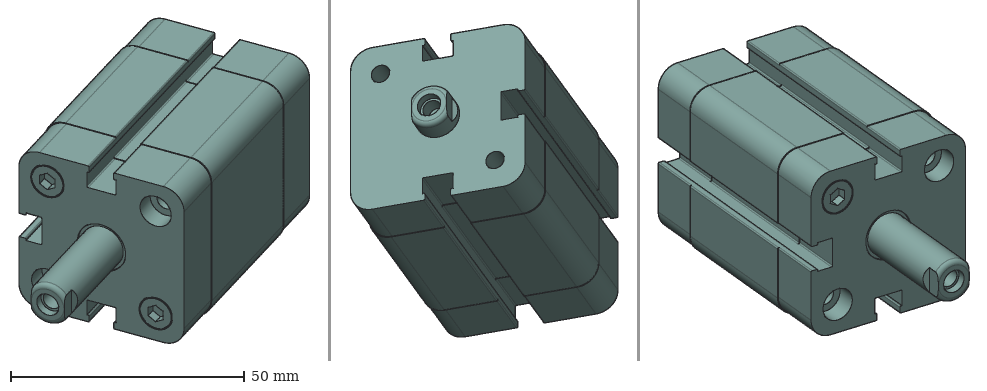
import cadquery as cq
import math

OVERALL_LENGTH = 90.5
FRONT_FACE_Y = 25.4
FRONT_CAP_LENGTH = 12.8
TUBE_LENGTH = 34.1
REAR_CAP_LENGTH = 12.6

TUBE_WIDTH = 40.1
CAP_WIDTH = 39.7
CORNER_RADIUS = 5.0

SLOT_OPENING = 5.9
SLOT_WIDTH = 7.0
LIP_THICKNESS = 1.9
SLOT_DEPTH = 5.5
SLOT_EDGE_RADIUS = 0.3
SLOT_ANGLES = (0, 90, 180)

CORNER_OFFSET = 13.0
SCREW_HEAD_DIAMETER = 7.5
SCREW_RECESS_DIAMETER = 8.0
SCREW_GAP_DEPTH = 0.45
HEX_WIDTH = 3.6
HEX_DEPTH = 2.3
HEX_HALF_ANGLE = 30.0
MOUNT_HOLE_DIAMETER = 4.2
MOUNT_BORE_DIAMETER = 7.5
MOUNT_BORE_DEPTH = 4.8

ROD_DIAMETER = 10.0
ROD_EDGE_RADIUS = 1.1
ROD_RECESS_DIAMETER = 11.6
ROD_RECESS_DEPTH = 0.5
FLAT_WIDTH = 8.0
FLAT_LENGTH = 3.4
TAP_HOLE_DIAMETER = 4.2
TAP_MOUTH_DIAMETER = 5.25
TAP_MOUTH_DEPTH = 2.0
TAP_HOLE_DEPTH = 10.0
DRILL_POINT_ANGLE = 118.0

TUBE_START_Y = FRONT_FACE_Y + FRONT_CAP_LENGTH
TUBE_END_Y = TUBE_START_Y + TUBE_LENGTH
BODY_LENGTH = FRONT_CAP_LENGTH + TUBE_LENGTH + REAR_CAP_LENGTH


def section_plane(y):
    """XZ workplane at the given Y; extruding from it goes toward +Y."""
    return cq.Workplane(cq.Plane(origin=(0, y, 0), xDir=(-1, 0, 0), normal=(0, 1, 0)))


def cylinder(diameter, y, length, x=0.0, z=0.0):
    return section_plane(y).center(-x, z).circle(diameter / 2).extrude(length)


def rounded_block(width, y, length):
    block = section_plane(y).rect(width, width).extrude(length)
    return block.edges("|Y").fillet(CORNER_RADIUS)


def slot_cutter(face, y, length):
    """T-slot opening toward +Z at the height of the given face, with rounded floor and lip edges."""
    lip = TUBE_WIDTH / 2 - LIP_THICKNESS
    floor = face - SLOT_DEPTH
    radius = SLOT_EDGE_RADIUS
    mouth_x = SLOT_OPENING / 2
    wall_x = SLOT_WIDTH / 2
    flare_x = mouth_x + radius
    outline = (
        section_plane(y)
        .moveTo(-flare_x, face)
        .radiusArc((-mouth_x, face - radius), radius)
        .lineTo(-mouth_x, lip + radius)
        .radiusArc((-flare_x, lip), radius)
        .lineTo(-wall_x, lip)
        .lineTo(-wall_x, floor + radius)
        .radiusArc((-wall_x + radius, floor), -radius)
        .lineTo(wall_x - radius, floor)
        .radiusArc((wall_x, floor + radius), -radius)
        .lineTo(wall_x, lip)
        .lineTo(flare_x, lip)
        .radiusArc((mouth_x, lip + radius), radius)
        .lineTo(mouth_x, face - radius)
        .radiusArc((flare_x, face), radius)
        .close()
    )
    return outline.extrude(length)


def slotted_block(width, y, length):
    """Body segment with its T-slots cut to a depth measured from its own faces."""
    block = rounded_block(width, y, length)
    slot = slot_cutter(width / 2, y, length)
    for angle in SLOT_ANGLES:
        block = block.cut(slot.rotate((0, 0, 0), (0, -1, 0), angle))
    return block


def screw_cut(x, z):
    """Narrow gap around a flush screw head, plus its hexagon socket."""
    gap = cylinder(SCREW_RECESS_DIAMETER, FRONT_FACE_Y, SCREW_GAP_DEPTH, x, z)
    gap = gap.cut(cylinder(SCREW_HEAD_DIAMETER, FRONT_FACE_Y, SCREW_GAP_DEPTH, x, z))
    hex_corner_diameter = HEX_WIDTH / math.cos(math.radians(HEX_HALF_ANGLE))
    socket = section_plane(FRONT_FACE_Y).polygon(6, hex_corner_diameter).extrude(HEX_DEPTH)
    socket = socket.rotate((0, 0, 0), (0, 1, 0), HEX_HALF_ANGLE).translate((x, 0, z))
    return gap.union(socket)


def mounting_hole(x, z):
    bore = cylinder(MOUNT_BORE_DIAMETER, FRONT_FACE_Y, MOUNT_BORE_DEPTH, x, z)
    return bore.union(cylinder(MOUNT_HOLE_DIAMETER, FRONT_FACE_Y, BODY_LENGTH, x, z))


def flat_cut(side):
    """Material removed beside one wrench flat at the front tip; the flat runs out at 45 degrees."""
    flat_x = FLAT_WIDTH / 2
    outer_x = ROD_DIAMETER / 2
    runout_y = FLAT_LENGTH + outer_x - flat_x
    outline = [(flat_x, 0), (flat_x, FLAT_LENGTH), (outer_x, runout_y), (outer_x, 0)]
    return (
        cq.Workplane("XY")
        .polyline([(side * x, y) for x, y in outline])
        .close()
        .extrude(ROD_DIAMETER / 2, both=True)
    )


def tapped_hole():
    """Counterbored blind hole with a drill point, opening at the front tip."""
    radius = TAP_HOLE_DIAMETER / 2
    point_depth = radius / math.tan(math.radians(DRILL_POINT_ANGLE / 2))
    return (
        cq.Workplane("XY")
        .moveTo(0, 0)
        .lineTo(TAP_MOUTH_DIAMETER / 2, 0)
        .lineTo(TAP_MOUTH_DIAMETER / 2, TAP_MOUTH_DEPTH)
        .lineTo(radius, TAP_MOUTH_DEPTH)
        .lineTo(radius, TAP_HOLE_DEPTH)
        .lineTo(0, TAP_HOLE_DEPTH + point_depth)
        .close()
        .revolve(360, (0, 0, 0), (0, 1, 0))
    )


def piston_rod():
    rod = cylinder(ROD_DIAMETER, 0, OVERALL_LENGTH).edges("%CIRCLE").fillet(ROD_EDGE_RADIUS)
    tip_cut = tapped_hole().union(flat_cut(1)).union(flat_cut(-1))
    middle = (0, OVERALL_LENGTH / 2, 0)
    return rod.cut(tip_cut).cut(tip_cut.mirror("XZ", middle))


body = slotted_block(CAP_WIDTH, FRONT_FACE_Y, FRONT_CAP_LENGTH)
body = body.union(slotted_block(TUBE_WIDTH, TUBE_START_Y, TUBE_LENGTH))
body = body.union(slotted_block(CAP_WIDTH, TUBE_END_Y, REAR_CAP_LENGTH))

for side in (1, -1):
    offset = side * CORNER_OFFSET
    body = body.cut(screw_cut(-offset, offset))
    body = body.cut(mounting_hole(offset, offset))

body = body.cut(cylinder(ROD_RECESS_DIAMETER, FRONT_FACE_Y, ROD_RECESS_DEPTH))

result = body.union(piston_rod()).translate((0, -OVERALL_LENGTH / 2, 0))